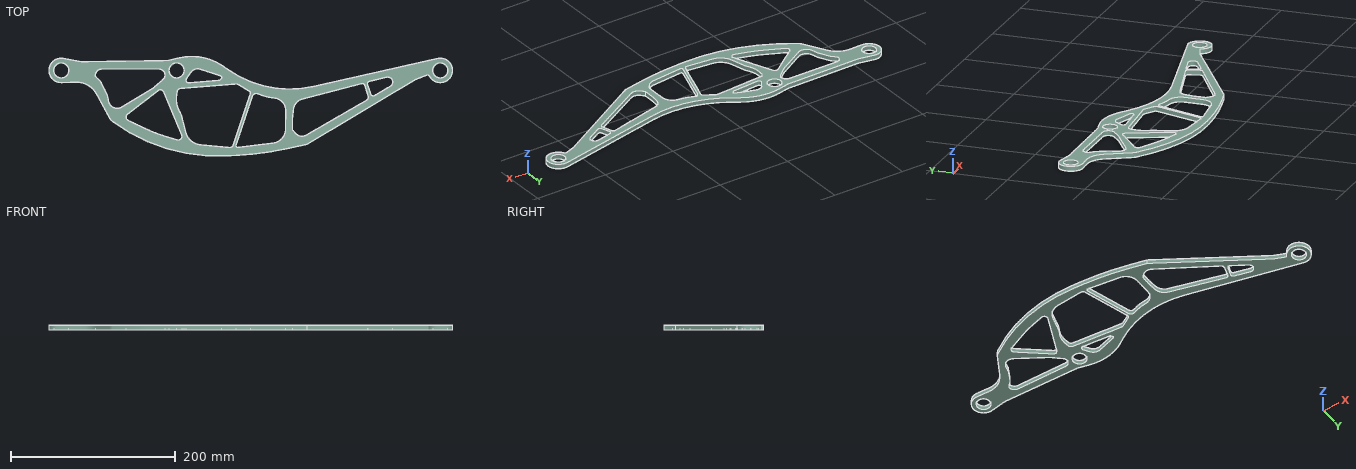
import math

import cadquery as cq

THICKNESS = 6.3
EYE_SPACING = 460.0
EYE_RADIUS = 15.0
BORE_DIAMETER = 18.0
MIDDLE_BORE_X = 140.0

LEFT_EYE = (0.0, 0.0)
RIGHT_EYE = (EYE_SPACING, 0.0)
MIDDLE_BORE = (MIDDLE_BORE_X, 0.0)

NOTCH_POINT = (448.0, -4.2)
NOTCH_FILLET = 2.0

UPPER_EDGE = [
    (23.9, 10.7, 30.0),
    (129.0, 12.1, 0.0),
    (172.1, 22.05, 66.3),
    (250.4, -31.9, 130.5),
]
LOWER_EDGE = [
    (430.1, -11.1, 20.9),
    (298.3, -89.8, 0.0),
    (243.3, -101.8, 372.8),
    (123.6, -107.5, 214.3),
    (59.9, -60.3, 11.4),
    (34.7, -13.9, 27.4),
]

UPPER_LEFT_WINDOW = [
    (41.9, 1.5, 7.9),
    (125.5, 1.5, 7.1),
    (125.9, -8.8, 6.6),
    (111.4, -21.4, 8.0),
    (60.4, -52.2, 10.6),
    (56.1, -30.0, 8.8),
    (47.9, -13.5, 9.4),
    (41.4, -7.1, 1.7),
]
LOWER_LEFT_WINDOW = [
    (74.9, -57.6, 4.4),
    (122.1, -21.2, 4.2),
    (149.5, -86.8, 4.3),
    (114.7, -76.4, 158.0),
]
SMALL_UPPER_WINDOW = [
    (161.4, 3.7, 10.3),
    (196.4, -7.7, 2.0),
    (192.4, -11.8, 1.0),
    (148.5, -15.4, 3.1),
]
CENTRE_WINDOW = [
    (141.3, -22.3, 4.5),
    (213.8, -16.5, 7.0),
    (229.9, -26.4, 2.3),
    (207.4, -93.7, 4.0),
    (154.8, -88.8, 20.1),
    (145.7, -53.3, 17.2),
    (138.8, -41.1, 30.6),
]
CENTRE_RIGHT_WINDOW = [
    (233.8, -26.4, 4.7),
    (248.2, -32.7, 65.3),
    (272.4, -35.0, 15.0),
    (271.9, -86.3, 17.0),
    (238.4, -90.3, 199.9),
    (211.3, -93.7, 2.0),
]
LONG_RIGHT_WINDOW = [
    (283.1, -37.4, 14.1),
    (367.4, -15.4, 3.0),
    (373.3, -34.5, 3.9),
    (290.2, -82.5, 10.2),
    (280.9, -72.3, 0.0),
    (280.9, -57.1, 19.9),
]
SMALL_RIGHT_WINDOW = [
    (370.8, -14.2, 3.0),
    (402.9, -6.4, 5.9),
    (401.8, -17.6, 5.3),
    (377.1, -32.2, 2.9),
]
WINDOWS = [
    UPPER_LEFT_WINDOW,
    LOWER_LEFT_WINDOW,
    SMALL_UPPER_WINDOW,
    CENTRE_WINDOW,
    CENTRE_RIGHT_WINDOW,
    LONG_RIGHT_WINDOW,
    SMALL_RIGHT_WINDOW,
]


def eye_tangent_corner(eye, outside, side):
    """Sharp corner where a line from `outside` touches the eye.

    Seen from the eye centre, it lies anticlockwise of `outside` if side is 1, clockwise if -1.
    """
    dx = outside[0] - eye[0]
    dy = outside[1] - eye[1]
    angle = math.atan2(dy, dx) + side * math.acos(EYE_RADIUS / math.hypot(dx, dy))
    return (eye[0] + EYE_RADIUS * math.cos(angle), eye[1] + EYE_RADIUS * math.sin(angle), 0.0)


def corner_arc(before, corner, after):
    """Start, middle and end of the arc that rounds one corner."""
    point = cq.Vector(corner[0], corner[1])
    to_before = (cq.Vector(before[0], before[1]) - point).normalized()
    to_after = (cq.Vector(after[0], after[1]) - point).normalized()
    half_angle = to_before.getAngle(to_after) / 2
    radius = corner[2]
    setback = radius / math.tan(half_angle)
    apex_gap = radius / math.sin(half_angle) - radius
    bisector = (to_before + to_after).normalized()
    return point + to_before * setback, point + bisector * apex_gap, point + to_after * setback


def rounded_plate(corners):
    """Plate of full thickness whose outline is a polygon with rounded corners."""
    arcs = []
    for i, corner in enumerate(corners):
        after = corners[(i + 1) % len(corners)]
        arcs.append(corner_arc(corners[i - 1], corner, after))

    last_end = arcs[-1][2]
    outline = cq.Workplane("XY").moveTo(last_end.x, last_end.y)
    for corner, (start, middle, end) in zip(corners, arcs):
        outline = outline.lineTo(start.x, start.y)
        if corner[2] > 0:
            outline = outline.threePointArc((middle.x, middle.y), (end.x, end.y))
    return outline.close().extrude(THICKNESS)


def disc(centre, radius):
    return cq.Workplane("XY").center(*centre).circle(radius).extrude(THICKNESS)


def make_arm():
    """Solid arm with its two end eyes, before the windows and bores are cut."""
    corners = [
        (*LEFT_EYE, 0.0),
        eye_tangent_corner(LEFT_EYE, UPPER_EDGE[0], 1),
        *UPPER_EDGE,
        eye_tangent_corner(RIGHT_EYE, UPPER_EDGE[-1], -1),
        (*RIGHT_EYE, 0.0),
        (*NOTCH_POINT, 0.0),
        *LOWER_EDGE,
        eye_tangent_corner(LEFT_EYE, LOWER_EDGE[-1], -1),
    ]
    arm = rounded_plate(corners)
    for eye in (LEFT_EYE, RIGHT_EYE):
        arm = arm.union(disc(eye, EYE_RADIUS))
    notch_edge = cq.selectors.NearestToPointSelector((*NOTCH_POINT, THICKNESS / 2))
    return arm.edges("|Z").edges(notch_edge).fillet(NOTCH_FILLET)


result = make_arm()
for window in WINDOWS:
    result = result.cut(rounded_plate(window))
for bore in (LEFT_EYE, MIDDLE_BORE, RIGHT_EYE):
    result = result.cut(disc(bore, BORE_DIAMETER / 2))